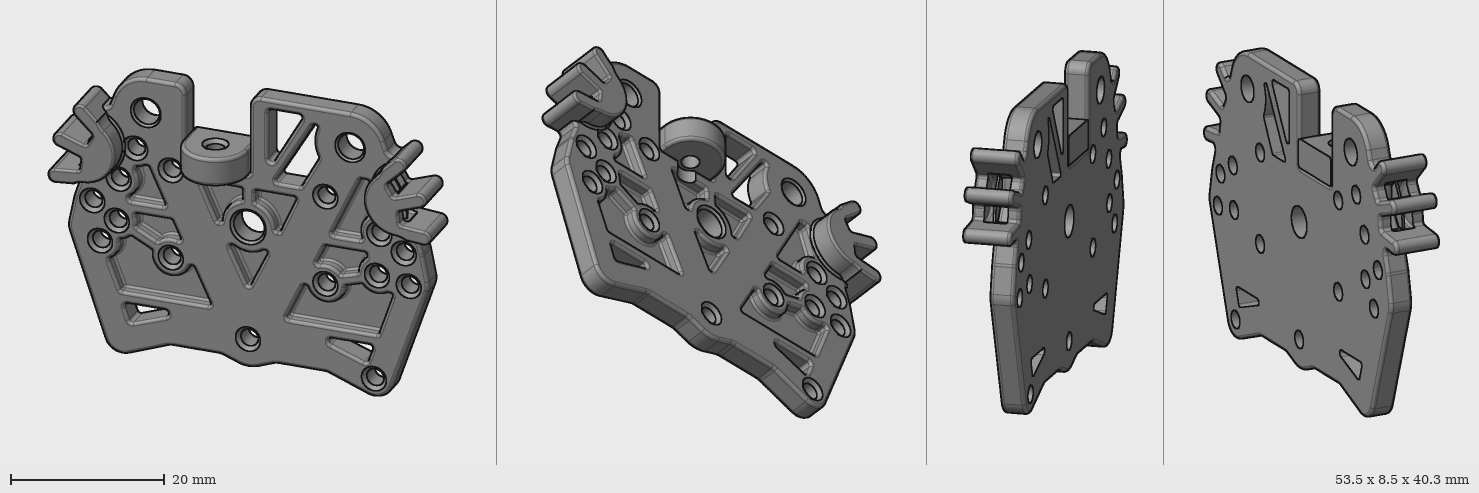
import cadquery as cq
import math


overall_width = 53.5
plate_thickness = 3.3
edge_radius = 0.5
plate_top = 18.9
top_corner_radius = 1.5

boss_radius = 4.5
boss_x = -4.3
boss_axis_depth = 4.0
boss_bottom = 7.5
boss_height = 4.0
notch_left = boss_x - boss_radius
notch_right = boss_x + boss_radius
screw_channel_diameter = 3.4
screw_channel_bottom = 5.05

small_hole_diameter = 2.4
small_hole_chamfer = 0.55
corner_hole_diameter = 3.6
corner_hole_chamfer = 0.3
corner_hole = (14.3, 13.95)
hub_diameter = 4.3
hub_chamfer = 0.4
mirrored_holes = [(10.8, 6.25), (10.8, -6.3), (21.8, 0)]
left_holes = [(-15.8, 8.55), (-18.1, 3.75), (-18.35, -2.3), (-20.7, -5.6)]
right_holes = [(18.35, 2.2), (18.05, -3.85), (22.5, -4.6), (17.6, -18.8)]
bottom_hole = (0, -16.15)

pocket_depth = 1.65
opening_rim_radius = 0.45
pocket_floor_radius = 0.3
pocket_corner_radius = 0.35
window_corner_radius = 0.5
hole_land_radius = 2.25
hub_land_radius = 3.25
corner_land_radius = 4.6

claw_depth = 6.55
fan_tilt = 19.5
finger_spread = 24.5
claw_radius = 4.55
claw_offset = 9.3
claw_front_radius = 0.3
collar_width = 0.3
fan_z = 5.35
fan_tip_radius = 12.6
fan_root_radius = 9.1
finger_width = 2.0
lowest_finger_reach = fan_tip_radius * math.cos(math.radians(finger_spread - fan_tilt)) + finger_width / 2
fan_x = overall_width / 2 - lowest_finger_reach
gap_corner_radius = 0.5
claw_blend_radius = 2.95
claw_blend_angle = 112
blend_start_angle = math.radians(claw_blend_angle - finger_spread)
finger_inner_radius = (
    claw_offset * math.cos(math.radians(finger_spread)) + claw_radius * math.cos(blend_start_angle)
)
tie_slot_width = 3.2
tie_slot_outer_radius = 3.2
tie_slot_floor_radius = 0.3

left_side_corners = [
    (-3.85, -19.05, 2.15),
    (-10.95, -19.05, 1.6),
    (-19.2, -22.2, 2.6),
    (-25.3, -4.3, 2.7),
    (-24.4, 0.2, 3.2),
    (-23.35, 3.4, 0.7),
]
claw_inside_corners = [
    (-25.3, 3.55, 0),
    (-25.3, 4.55, 0),
    (-21.95, 5.1, 0),
    (-19.8, 8.05, 0),
    (-19.75, 10.95, 0),
    (-22.8, 13.8, 0),
    (-21.95, 14.65, 0),
]
claw_notch_corner = (-19.8, 13.1, 1.0)
shoulder_corner = (-17.7, plate_top, 4.9)
bottom_bulge = (0, -20.5, 4.0)

pocket_outlines = [
    ([(-16.0, 6.7), (-13.7, 6.7), (-10.8, 0.4), (-17.35, 0.4)], left_holes[:2]),
    ([(-16.6, -0.45), (-10.45, -0.45), (-8.15, -5.25), (-10.8, -5.85), (-16.6, -2.85)],
     [(-10.8, -6.3), left_holes[2]]),
    ([(-18.2, -12.85), (-4.45, -12.85), (-7.4, -6.65), (-10.8, -6.65), (-18.35, -2.8), (-20.65, -6.5)],
     [(-10.8, -6.3)] + left_holes[2:]),
    ([(10.8, 0.4), (16.4, 0.4), (18.35, 2.2), (18.6, 5.45), (17.05, 10.05), (15.35, 10.05)],
     right_holes[:1]),
    ([(10.45, -0.45), (16.95, -0.45), (16.95, -3.95), (10.75, -5.8), (8.15, -5.25)],
     [(10.8, -6.3), right_holes[1]]),
    ([(4.45, -12.85), (18.45, -12.85), (20.85, -5.7), (18.05, -5.7), (18.05, -4.4), (10.75, -6.55),
      (7.4, -6.65)],
     [(10.8, -6.3), right_holes[1]]),
]
hub_pocket_outlines = [
    [(-7.5, 5.85), (-0.45, 5.85), (-0.45, -0.5), (-4.65, -0.5)],
    [(7.5, 5.85), (0.45, 5.85), (0.45, -0.5), (4.65, -0.5)],
    [(-3.55, -2.6), (3.55, -2.6), (0, -9.95)],
]
window_outlines = [
    [(2.3, 17.8), (8.55, 17.8), (2.3, 6.9)],
    [(-18.15, -13.65), (-6.5, -13.65), (-16.85, -17.4)],
    [(18.15, -13.65), (6.5, -13.65), (16.85, -17.4)],
]
corner_window_outline = [(2.8, 6.6), (7.6, 6.6), (10.8, 12.4), (10.8, 16.7), (8.8, 16.7)]


def front_plane(depth=0.0):
    """XZ workplane at the given depth in front of the back face; it extrudes toward -Y."""
    return cq.Workplane("XZ", origin=(0, -depth, 0))


def disc(center, radius, start, depth):
    return front_plane(start).center(*center).circle(radius).extrude(depth)


def mirror_corners(corners):
    return [(-x, z, r) for x, z, r in reversed(corners)]


def rounded_outline(corners):
    """Closed outline through (x, z, radius) corners, each rounded by a tangent arc."""
    arcs = []
    for i, (x, z, radius) in enumerate(corners):
        here = cq.Vector(x, z)
        before = (cq.Vector(*corners[i - 1][:2]) - here).normalized()
        after = (cq.Vector(*corners[(i + 1) % len(corners)][:2]) - here).normalized()
        half_angle = before.getAngle(after) / 2
        setback = radius / math.tan(half_angle)
        corner_gap = radius / math.sin(half_angle) - radius
        middle = here + (before + after).normalized() * corner_gap
        arcs.append((here + before * setback, middle, here + after * setback, radius))
    outline = front_plane().moveTo(*arcs[0][2].toTuple()[:2])
    for start, middle, end, radius in arcs[1:] + arcs[:1]:
        outline = outline.lineTo(*start.toTuple()[:2])
        if radius:
            outline = outline.threePointArc(middle.toTuple()[:2], end.toTuple()[:2])
    return outline.close()


def make_plate():
    left = left_side_corners + claw_inside_corners + [claw_notch_corner, shoulder_corner]
    notch = [
        (notch_left, plate_top, top_corner_radius),
        (notch_left, boss_bottom, edge_radius),
        (notch_right, boss_bottom, edge_radius),
        (notch_right, plate_top, top_corner_radius),
    ]
    outline = rounded_outline([bottom_bulge] + left + notch + mirror_corners(left))
    plate = outline.extrude(plate_thickness)
    return plate.faces("<Y or >Y").edges().fillet(edge_radius)


def opening_tool(outline, lands, land_radius, depth, corner_radius):
    """Cutter with straight walls, set in from the rim outline by the rim rounding."""
    start = plate_thickness - depth
    wall = front_plane(start).polyline(outline).close().offset2D(-opening_rim_radius, "intersection")
    tool = wall.extrude(depth)
    for center in lands:
        tool = tool.cut(disc(center, land_radius + opening_rim_radius, start, depth))
    return tool.edges("|Y").fillet(corner_radius)


def make_opening_tools():
    pockets = [
        opening_tool(outline, lands, hole_land_radius, pocket_depth, pocket_corner_radius)
        for outline, lands in pocket_outlines
    ]
    pockets += [
        opening_tool(outline, [(0, 0)], hub_land_radius, pocket_depth, pocket_corner_radius)
        for outline in hub_pocket_outlines
    ]
    windows = [
        opening_tool(outline, [], 0, plate_thickness, window_corner_radius) for outline in window_outlines
    ]
    windows.append(opening_tool(
        corner_window_outline, [corner_hole], corner_land_radius, plate_thickness, pocket_corner_radius))
    pockets = [pocket.faces(">Y").edges().fillet(pocket_floor_radius) for pocket in pockets]
    return pockets + windows


def cut_openings(plate, tools):
    for tool in tools:
        plate = plate.cut(tool)
    rims = [edge for wire in plate.faces("<Y").val().innerWires() for edge in wire.Edges()]
    return plate.newObject(rims).fillet(opening_rim_radius)


def hole_tool(center, diameter, chamfer):
    """Through-hole cutter with a countersink at the front face."""
    radius = diameter / 2
    profile = [
        (0, 0),
        (radius, 0),
        (radius, plate_thickness - chamfer),
        (radius + chamfer, plate_thickness),
        (0, plate_thickness),
    ]
    tool = cq.Workplane("XY").polyline(profile).close().revolve(360, (0, 0), (0, 1))
    return tool.mirror("XZ").translate((center[0], 0, center[1]))


def cut_holes(plate):
    corner_x, corner_z = corner_hole
    plate = plate.cut(hole_tool((0, 0), hub_diameter, hub_chamfer))
    small = left_holes + right_holes + [bottom_hole]
    for side in (-1, 1):
        center = (side * corner_x, corner_z)
        plate = plate.cut(hole_tool(center, corner_hole_diameter, corner_hole_chamfer))
        small = small + [(side * x, z) for x, z in mirrored_holes]
    for center in small:
        plate = plate.cut(hole_tool(center, small_hole_diameter, small_hole_chamfer))
    return plate


def make_gap_wedge():
    """Region outside the finger roots, between the axes of the two outer fingers."""
    reach = 2 * fan_tip_radius
    rays = [
        (reach * math.cos(math.radians(angle)), reach * math.sin(math.radians(angle)))
        for angle in (-finger_spread, finger_spread)
    ]
    wedge = front_plane().polyline([(0, 0)] + rays).close().extrude(claw_depth)
    return wedge.cut(disc((0, 0), fan_root_radius, 0, claw_depth))


def make_finger(angle):
    length = fan_tip_radius - finger_inner_radius
    bar = front_plane().center(finger_inner_radius + length / 2, 0).rect(length, finger_width)
    tip = disc((fan_tip_radius, 0), finger_width / 2, 0, claw_depth)
    return bar.extrude(claw_depth).union(tip).rotate((0, 0, 0), (0, 1, 0), -angle)


def cut_outer_blends(claw):
    """Hollow curves running from the outer fingers tangentially into the disc."""
    reach = claw_radius + claw_blend_radius
    angle = math.radians(claw_blend_angle)
    for side in (-1, 1):
        center = (claw_offset + reach * math.cos(angle), side * reach * math.sin(angle))
        claw = claw.cut(disc(center, claw_blend_radius, 0, claw_depth))
    return claw


def round_finger_roots(claw):
    root_edges = [
        edge for edge in claw.edges("|Y").vals()
        if abs(math.hypot(edge.Center().x, edge.Center().z) - fan_root_radius) < 0.005
    ]
    return claw.newObject(root_edges).fillet(gap_corner_radius)


def place_claw(body):
    """Move from the fan frame (fan center at the origin, middle finger along X) to the right side."""
    return body.rotate((0, 0, 0), (0, 1, 0), -fan_tilt).translate((fan_x, 0, fan_z))


def make_claw():
    """Three fingers fanning out of a disc, in the fan frame."""
    claw = disc((claw_offset, 0), claw_radius, 0, claw_depth).cut(make_gap_wedge())
    for angle in (-finger_spread, 0, finger_spread):
        claw = claw.union(make_finger(angle))
    claw = round_finger_roots(cut_outer_blends(claw))
    claw = claw.faces("<Y").edges().fillet(claw_front_radius)
    claw = claw.faces(">Y").edges().fillet(edge_radius)
    return claw.cut(make_tie_slot())


def make_tie_slot():
    """Curved slot passing behind the middle finger, halfway along the claw depth."""
    start = (claw_depth - tie_slot_width) / 2
    slot = disc((claw_offset, 0), tie_slot_outer_radius, start, tie_slot_width)
    slot = slot.edges("%CIRCLE").fillet(tie_slot_floor_radius)
    finger_side = front_plane().center(claw_offset + claw_radius, 0).rect(2 * claw_radius, 2 * claw_radius)
    core = disc((claw_offset, 0), finger_width / 2, 0, claw_depth)
    return slot.cut(finger_side.extrude(claw_depth)).cut(core)


def make_collar():
    """Sloped collar between the claw disc and the plate face, in the fan frame."""
    base = front_plane(plate_thickness).center(claw_offset, 0).circle(claw_radius + collar_width)
    collar = base.workplane(offset=collar_width).circle(claw_radius).loft()
    return collar.cut(make_gap_wedge())


def make_boss():
    front_half = front_plane().rect(2 * overall_width, 2 * overall_width).extrude(overall_width)
    back = front_plane().center(boss_x, boss_bottom + boss_height / 2).rect(2 * boss_radius, boss_height)
    boss = back.extrude(boss_axis_depth)
    base = cq.Workplane("XY", origin=(boss_x, -boss_axis_depth, boss_bottom))
    nose = base.circle(boss_radius).extrude(boss_height)
    boss = boss.union(nose.intersect(front_half))
    return boss.faces("<Z or >Z").edges("not >Y").fillet(edge_radius)


def cut_boss_hole(body):
    """Countersunk hole down the boss, with a wider screw channel in the plate face below it."""
    radius = small_hole_diameter / 2
    axis = cq.Workplane("XY", origin=(boss_x, -boss_axis_depth, boss_bottom))
    hole = axis.circle(radius).extrude(boss_height)
    mouth = axis.workplane(offset=boss_height - small_hole_chamfer).circle(radius)
    mouth = mouth.workplane(offset=small_hole_chamfer).circle(radius + small_hole_chamfer).loft()
    channel = axis.circle(screw_channel_diameter / 2).extrude(screw_channel_bottom - boss_bottom)
    return body.cut(hole).cut(mouth).cut(channel)


plate = cut_openings(make_plate(), make_opening_tools())
collar = place_claw(make_collar())
plate = plate.union(collar).union(collar.mirror("YZ"))
plate = cut_holes(plate)
claw = place_claw(make_claw())
plate = plate.union(claw).union(claw.mirror("YZ"))
result = cut_boss_hole(plate.union(make_boss()))